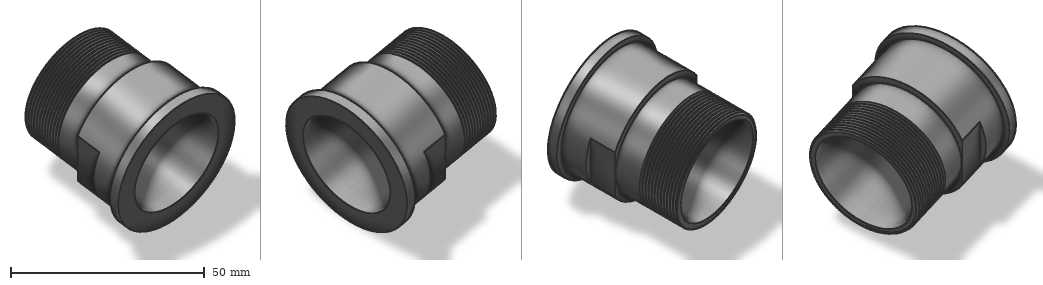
import cadquery as cq
import math

neck_length = 20.0
body_length = 16.0
flange_length = 3.0
total_length = neck_length + body_length + flange_length

bore_diameter = 30.2
neck_diameter = 33.8
body_diameter = 38.1
flange_diameter = 42.0

flat_length = 8.0
across_flats = 34.2

thread_pitch = 1.0
thread_depth = 0.6
flank_half_angle = math.radians(30)
root_flat = thread_pitch / 5
thread_turns = 13
thread_lead_in = 0.57
groove_overshoot = 0.03


def cylinder(diameter, start, length):
    """Cylinder about the X axis, beginning at X = start, with its seam line on +Z."""
    base = cq.Plane(origin=(start, 0, 0), xDir=(0, 0, 1), normal=(1, 0, 0))
    return cq.Workplane(base).circle(diameter / 2).extrude(length)


def thread_groove():
    """Helical groove about X, starting and stopping on the -Z side."""
    root_radius = neck_diameter / 2 - thread_depth
    outer_radius = neck_diameter / 2 + groove_overshoot
    root_half_width = root_flat / 2
    outer_half_width = root_half_width + (outer_radius - root_radius) * math.tan(flank_half_angle)
    helix = cq.Wire.makeHelix(thread_pitch, thread_turns * thread_pitch, root_radius)
    groove = (
        cq.Workplane("XZ")
        .moveTo(root_radius, root_half_width)
        .lineTo(outer_radius, outer_half_width)
        .lineTo(outer_radius, -outer_half_width)
        .lineTo(root_radius, -root_half_width)
        .close()
        .sweep(cq.Workplane(obj=helix), isFrenet=True)
    )
    return groove.rotate((0, 0, 0), (0, 1, 0), 90).translate((-thread_lead_in, 0, 0))


def wrench_flats():
    """Cutters for the flats on the +Y and -Y sides of the body."""
    flat_zone = cylinder(body_diameter, neck_length, flat_length)
    kept_slab = cq.Workplane("XY").box(
        flat_length, across_flats, body_diameter, centered=(False, True, True)
    ).translate((neck_length, 0, 0))
    return flat_zone.cut(kept_slab)


neck = cylinder(neck_diameter, 0, neck_length).cut(thread_groove())
body = cylinder(body_diameter, neck_length, body_length).cut(wrench_flats())
flange = cylinder(flange_diameter, neck_length + body_length, flange_length)
bore = cylinder(bore_diameter, 0, total_length)

result = neck.union(body).union(flange).cut(bore)